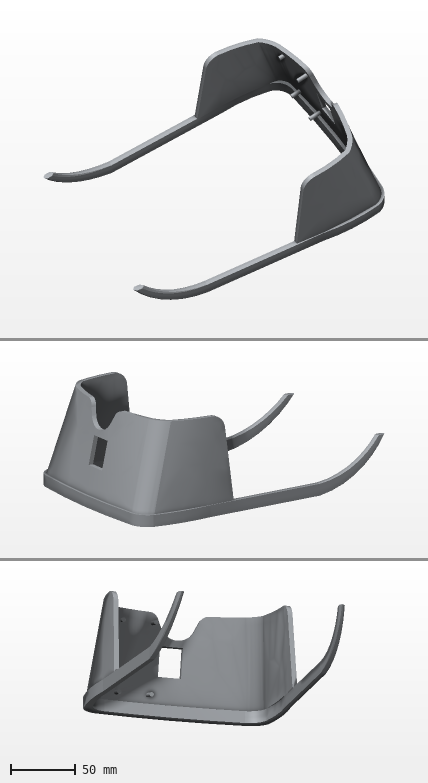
import cadquery as cq
import math

rim_height = 9.6
total_height = 80.0
half_width = 78.7

arm_thickness = 4.5
arm_end_y = -171.5
arm_end_x = 72.3

wall = 4.0
open_end_y = -103.3
rear_bottom_y = -90.2
rear_top_y = -82.0
rear_corner_radius = 11.7

notch_bottom_z = 60.4
notch_flank_low = (13.5, 68.0)
notch_flank_high = (16.5, 74.2)
notch_shoulder = (19.0, 78.2)
notch_top_x = 25.4

window_left = -13.9
window_right = 5.2
window_bottom = 31.5
window_top = 55.0

pin_diameter = 3.5
pin_length = 11.7
pin_columns = (-47.7, -21.1)
pin_tip_y = -29.4
pin_upper_z = 70.2
pin_lower_z = 15.0
lean = 11.5

tip_top_z = 39.2
tip_bend_radius = 92.5
tip_start_angle = 8.0
tip_end_angle = 58.0
tip_sections = 9
tip_end_height = 6.5
tip_inset = 5.0
tip_chamfer_start = 0.05
tip_chamfer_end = 1.75

cut_depth = 141.0


def moved_inwards(points, distance):
    """Shift each point of a left-to-right outline along its local normal, towards the inside."""
    shifted = []
    last = len(points) - 1
    for i, (x, y) in enumerate(points):
        before = points[max(i - 1, 0)]
        after = points[min(i + 1, last)]
        along_x = after[0] - before[0]
        along_y = after[1] - before[1]
        length = math.hypot(along_x, along_y)
        shifted.append((x + distance * along_y / length, y - distance * along_x / length))
    return shifted


def whole_outline(right_half):
    """Left-to-right points from a right half that starts at the front centre."""
    return [(-x, y) for x, y in reversed(right_half[1:])] + right_half


def arcs_through(path, points):
    """Continue a path from the first point with one arc for each following pair of points."""
    for middle, end in zip(points[1::2], points[2::2]):
        path = path.threePointArc(middle, end)
    return path


def make_rim():
    """Flat U-shaped band: thicker curved front and two straight arms."""
    outer_half = [(0, 0), (60.4, -3.3), (70.5, -6.8), (76.3, -15.3), (half_width, -40.0), (77.0, -67.6)]
    inner_half = [(0, -9.2), (57.5, -11.5), (66.5, -15.5), (71.2, -23.5), (73.5, -44.6), (72.5, -67.6)]
    outer = whole_outline(outer_half)
    inner = whole_outline(inner_half)
    inner.reverse()
    arm_inner_x = arm_end_x - arm_thickness
    path = cq.Workplane("XY").moveTo(-arm_end_x, arm_end_y).lineTo(*outer[0])
    path = arcs_through(path, outer).lineTo(arm_end_x, arm_end_y)
    path = path.lineTo(arm_inner_x, arm_end_y).lineTo(*inner[0])
    path = arcs_through(path, inner).lineTo(-arm_inner_x, arm_end_y)
    return path.close().extrude(rim_height)


def shield_outline(z, right_half, inset):
    """Closed wire of five arcs, joined across the open rear by a line."""
    points = moved_inwards(whole_outline(right_half), inset)
    path = cq.Workplane("XY", origin=(0, 0, z)).moveTo(*points[0])
    return arcs_through(path, points).close().val()


def make_shield_body(inset):
    """Solid between the lower and upper shield outlines, both moved inwards by inset."""
    lower = [(0, -2.3), (60.0, -5.5), (69.5, -9.2), (74.7, -17.1), (76.5, -47.0), (73.5, open_end_y)]
    upper = [(0, -17.4), (53.0, -25.8), (61.0, -30.5), (67.2, -37.0), (72.0, -58.7), (70.0, open_end_y)]
    wires = [
        shield_outline(rim_height, lower, inset),
        shield_outline(total_height, upper, inset),
    ]
    return cq.Workplane(cq.Solid.makeLoft(wires, True))


def shield_side_limit():
    """Side silhouette that gives the sloping rear edges and their rounded top corners."""
    return (
        cq.Workplane("YZ", origin=(-cut_depth, 0, 0))
        .moveTo(0, rim_height)
        .lineTo(rear_bottom_y, rim_height)
        .lineTo(rear_top_y, total_height)
        .lineTo(0, total_height)
        .close()
        .extrude(2 * cut_depth)
        .edges(cq.selectors.NearestToPointSelector((0, rear_top_y, total_height)))
        .fillet(rear_corner_radius)
    )


def front_cutter(profile):
    """Cutter through the front wall from a profile drawn on XZ."""
    return profile.extrude(cut_depth, both=True)


def make_notch():
    low_x, low_z = notch_flank_low
    high_x, high_z = notch_flank_high
    shoulder_x, shoulder_z = notch_shoulder
    return front_cutter(
        cq.Workplane("XZ")
        .moveTo(-notch_top_x, total_height)
        .threePointArc((-shoulder_x, shoulder_z), (-high_x, high_z))
        .lineTo(-low_x, low_z)
        .threePointArc((0, notch_bottom_z), (low_x, low_z))
        .lineTo(high_x, high_z)
        .threePointArc((shoulder_x, shoulder_z), (notch_top_x, total_height))
        .close()
    )


def make_window():
    return front_cutter(
        cq.Workplane("XZ")
        .moveTo(window_left, window_bottom)
        .lineTo(window_right, window_bottom)
        .lineTo(window_right, window_top)
        .lineTo(window_left, window_top)
        .close()
    )


def make_pins(shield_outer):
    """Four pins ending in one leaning plane, kept within the outer face of the wall."""
    angle = math.radians(lean)
    direction = cq.Vector(0, math.cos(angle), math.sin(angle))
    pins = cq.Workplane("XY")
    for x in pin_columns:
        for z in (pin_upper_z, pin_lower_z):
            y = pin_tip_y + (pin_upper_z - z) * math.tan(angle)
            tip_centre = cq.Vector(x, y, z)
            pins = pins.add(cq.Solid.makeCylinder(pin_diameter / 2, pin_length, tip_centre, direction))
    return pins.combine().intersect(shield_outer)


def tip_section(fraction):
    """Chamfered rectangle, square to the bend, at a fraction of the sweep."""
    angle = math.radians(tip_start_angle + (tip_end_angle - tip_start_angle) * fraction)
    start_angle = math.radians(tip_start_angle)
    height = rim_height + (tip_end_height - rim_height) * fraction
    chamfer = tip_chamfer_start + (tip_chamfer_end - tip_chamfer_start) * fraction
    centre_x = arm_end_x - arm_thickness / 2 - tip_inset * fraction**2
    origin = (
        centre_x,
        arm_end_y - tip_bend_radius * (math.sin(angle) - math.sin(start_angle)),
        tip_bend_radius * (math.cos(start_angle) - math.cos(angle)),
    )
    plane = cq.Plane(origin, xDir=(1, 0, 0), normal=(0, -math.cos(angle), math.sin(angle)))
    side = arm_thickness / 2
    points = [
        (side - chamfer, 0), (side, chamfer), (side, height - chamfer), (side - chamfer, height),
        (chamfer - side, height), (-side, height - chamfer), (-side, chamfer), (chamfer - side, 0),
    ]
    return cq.Workplane(plane).polyline(points).close().wire().val()


def make_tip():
    """Upswept end of the right arm, cut off level."""
    wires = [tip_section(i / (tip_sections - 1)) for i in range(tip_sections)]
    tip = cq.Workplane(cq.Solid.makeLoft(wires))
    below = cq.Workplane("XY").box(4 * cut_depth, 4 * cut_depth, tip_top_z, centered=(True, True, False))
    return tip.intersect(below)


shield_outer = make_shield_body(0)
shield = shield_outer.cut(make_shield_body(wall)).intersect(shield_side_limit())
shield = shield.cut(make_notch()).cut(make_window())
pins = make_pins(shield_outer)
tip = make_tip()

result = make_rim().union(shield).union(pins).union(tip).union(tip.mirror("YZ"))